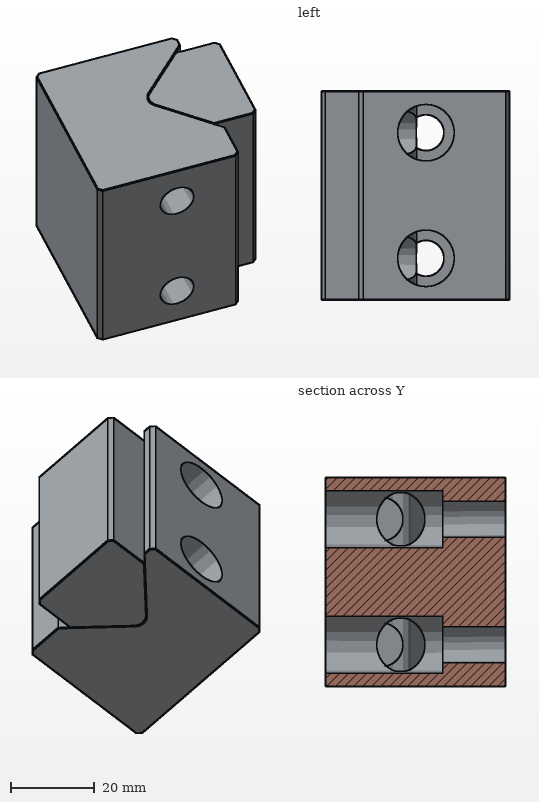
import cadquery as cq

height = 50.0
block_width = 43.0
block_depth = 36.0
total_depth = 45.0
corner_chamfer = 1.0
edge_chamfer = 0.2

groove_x = 18.0
groove_half_width = 15.0
groove_root_y = block_depth - groove_half_width
root_radius = 3.0
wedge_half_width = 13.0

bore_y = 20.0
bore_heights = (10.0, height - 10.0)
screw_diameter = 8.5
counterbore_diameter = 13.5
counterbore_depth = 28.0

wedge_hole_diameter = 10.5
wedge_hole_x = 13.25
wedge_hole_end_y = 35.0


def v_prism(half_width, top_y):
    """Full-height prism with a rounded 90 degree point and parallel sides up to top_y."""
    shoulder_y = groove_root_y + half_width
    outline = [
        (groove_x, groove_root_y),
        (groove_x + half_width, shoulder_y),
        (groove_x + half_width, top_y),
        (groove_x - half_width, top_y),
        (groove_x - half_width, shoulder_y),
    ]
    prism = cq.Workplane("XY").polyline(outline).close().extrude(height)
    point_edge = cq.selectors.NearestToPointSelector((groove_x, groove_root_y, height / 2))
    return prism.edges(point_edge).fillet(root_radius)


def x_cylinder(diameter, length, z):
    """Cylinder along +X, starting at the X = 0 face of the block."""
    return cq.Workplane("YZ").center(bore_y, z).circle(diameter / 2).extrude(length)


def make_block():
    block = cq.Workplane("XY").box(block_width, block_depth, height, centered=False)
    block = block.edges("|Z").chamfer(corner_chamfer)
    block = block.cut(v_prism(groove_half_width, total_depth))
    block = block.faces("<Z or >Z").chamfer(edge_chamfer)
    for z in bore_heights:
        block = block.cut(x_cylinder(screw_diameter, block_width, z))
        block = block.cut(x_cylinder(counterbore_diameter, counterbore_depth, z))
    return block


def flank_hole(z):
    """Cylinder along Y that opens through the -X flank and ends inside the wedge."""
    start = cq.Plane(origin=(wedge_hole_x, groove_root_y, z), xDir=(1, 0, 0), normal=(0, 1, 0))
    length = wedge_hole_end_y - groove_root_y
    return cq.Workplane(start).circle(wedge_hole_diameter / 2).extrude(length)


def make_wedge():
    wedge = v_prism(wedge_half_width, total_depth)
    wedge = wedge.edges("|Z and >Y").chamfer(corner_chamfer)
    wedge = wedge.faces("<Z or >Z").chamfer(edge_chamfer)
    for z in bore_heights:
        wedge = wedge.cut(flank_hole(z))
    return wedge


block = make_block()
wedge = make_wedge()

result = cq.Compound.makeCompound([block.val(), wedge.val()])